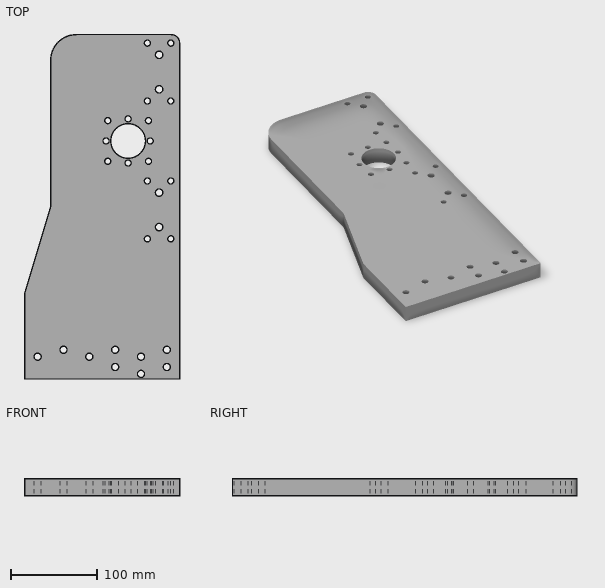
import cadquery as cq

width = 180.0
length = 400.0
thickness = 20.0
left_step = 30.0
taper_start = 100.0
taper_end = 200.0
large_corner_radius = 30.0
small_corner_radius = 10.0

bore_x = 120.0
bore_y = 276.5
bore_diameter = 40.0
axial_hole_offset = 25.5
diagonal_hole_offset = 23.5
small_hole_diameter = 7.0

group_x = 156.0
group_distance = 80.0
group_half_width = 13.5
group_half_height = 33.5
group_middle_offset = 20.0
middle_hole_diameter = 8.5

mount_pitch = 30.0
mount_hole_diameter = 8.0
mount_rows = {
    34.0: (1, 3, 5),
    26.0: (0, 2, 4),
    14.0: (3, 5),
    6.0: (4,),
}


def drill(body, points, diameter):
    """Cut through holes at the given points."""
    holes = cq.Workplane("XY").pushPoints(points).circle(diameter / 2).extrude(thickness)
    return body.cut(holes)


def make_plate():
    outline = [
        (0, 0),
        (width, 0),
        (width, length),
        (left_step, length),
        (left_step, taper_end),
        (0, taper_start),
    ]
    plate = cq.Workplane("XY").polyline(outline).close().extrude(thickness)
    plate = plate.edges("|Z").edges(">Y").edges("<X").fillet(large_corner_radius)
    return plate.edges("|Z").edges(">X").edges(">Y").fillet(small_corner_radius)


def corner_points(x, y, half_width, half_height):
    return [(x + i * half_width, y + j * half_height) for i in (-1, 1) for j in (-1, 1)]


def bore_ring_points():
    points = corner_points(bore_x, bore_y, diagonal_hole_offset, diagonal_hole_offset)
    for side in (-1, 1):
        points.append((bore_x + side * axial_hole_offset, bore_y))
        points.append((bore_x, bore_y + side * axial_hole_offset))
    return points


def mount_points():
    return [
        ((column + 0.5) * mount_pitch, y)
        for y, columns in mount_rows.items()
        for column in columns
    ]


result = make_plate()
result = drill(result, [(bore_x, bore_y)], bore_diameter)
result = drill(result, bore_ring_points(), small_hole_diameter)

for direction in (-1, 1):
    group_y = bore_y + direction * group_distance
    corners = corner_points(group_x, group_y, group_half_width, group_half_height)
    middles = [(group_x, group_y + side * group_middle_offset) for side in (-1, 1)]
    result = drill(result, corners, small_hole_diameter)
    result = drill(result, middles, middle_hole_diameter)

result = drill(result, mount_points(), mount_hole_diameter)